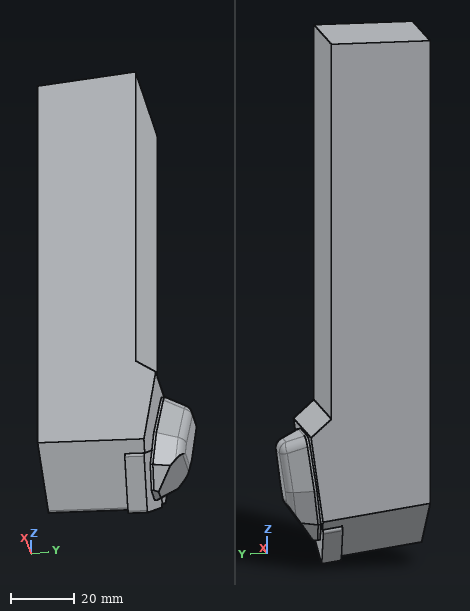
import cadquery as cq
import math

shank_size = 31.9
shank_top = 171.4
head_tilt = 8.0
tip_y = 32.2

swell_start_z = 50.0
swell_end_z = 44.2

point_z = 1.0
point_radius = 0.9

insert_side = 19.0
insert_thickness = 6.3
insert_radius = 0.9

clamp_x = -2.4
clamp_top_z = 43.9
clamp_wide_z = 26.5
clamp_narrow_z = 15.0
clamp_bottom_z = 8.9
clamp_top_half_width = 8.5
clamp_half_width = 10.0
clamp_narrow_half_width = 7.9
clamp_bottom_half_width = 2.4
clamp_base_height = 0.9
clamp_height = 9.3
clamp_draft = 24.0
clamp_end_draft = 14.0
clamp_slope_top_z = 22.5
clamp_slope_foot_height = 2.2
clamp_edge_radius = 3.5


def place_head(shape):
    """Tilt a shape from the upright head frame into its final place."""
    return shape.rotate((0, 0, 0), (1, 0, 0), -head_tilt).translate((0, tip_y, 0))


def rake_face_y(z):
    return tip_y + z * math.tan(math.radians(head_tilt))


def make_shank():
    below_tip_z = -8.5
    outline = [
        (0, shank_top),
        (shank_size, shank_top),
        (shank_size, swell_start_z),
        (rake_face_y(swell_end_z), swell_end_z),
        (rake_face_y(below_tip_z), below_tip_z),
        (0, below_tip_z),
    ]
    blank = cq.Workplane("YZ").polyline(outline).close().extrude(shank_size / 2, both=True)
    reach = 1.5 * shank_top
    point = (
        cq.Workplane("XZ")
        .polyline([(0, point_z), (reach, point_z + reach), (-reach, point_z + reach)])
        .close()
        .extrude(reach, both=True)
        .edges("|Y").edges("<Z").fillet(point_radius)
    )
    return blank.intersect(place_head(point))


def make_insert():
    centre_z = insert_side / math.sqrt(2) - insert_radius * (math.sqrt(2) - 1)
    insert = (
        cq.Workplane("XY")
        .box(insert_side, insert_thickness, insert_side)
        .edges("|Y").fillet(insert_radius)
        .rotate((0, 0, 0), (0, 1, 0), 45)
        .translate((0, -insert_thickness / 2, centre_z))
    )
    return place_head(insert)


def make_clamp():
    half_plan = [
        (clamp_top_half_width, clamp_top_z),
        (clamp_half_width, clamp_wide_z),
        (clamp_narrow_half_width, clamp_narrow_z),
        (clamp_bottom_half_width, clamp_bottom_z),
    ]
    right = [(clamp_x + x, z) for x, z in half_plan]
    left = [(clamp_x - x, z) for x, z in reversed(half_plan)]
    base_plan = right + left
    base = (
        cq.Workplane("XZ")
        .polyline(base_plan)
        .close()
        .extrude(-clamp_base_height)
        .edges("|Y and >Z").fillet(clamp_edge_radius)
    )

    end_margin = clamp_height
    narrowing = (clamp_narrow_half_width - clamp_bottom_half_width) / (clamp_narrow_z - clamp_bottom_z)
    lower_apex_z = clamp_bottom_z - clamp_bottom_half_width / narrowing
    upper_plan = [right[1], right[2], (clamp_x, lower_apex_z), left[1], left[2]]
    shrink = (clamp_half_width - clamp_top_half_width) / (clamp_top_z - clamp_wide_z)
    end_half_width = clamp_top_half_width - shrink * end_margin
    upper_plan += [
        (clamp_x - end_half_width, clamp_top_z + end_margin),
        (clamp_x + end_half_width, clamp_top_z + end_margin),
    ]
    upper = (
        cq.Workplane("XZ", origin=(0, clamp_base_height, 0))
        .polyline(upper_plan)
        .close()
        .extrude(-(clamp_height - clamp_base_height), taper=clamp_draft)
    )
    end_setback = (clamp_height - clamp_base_height) * math.tan(math.radians(clamp_end_draft))
    profile = [
        (clamp_base_height, clamp_top_z),
        (clamp_height, clamp_top_z - end_setback),
        (clamp_height, clamp_slope_top_z),
        (clamp_slope_foot_height, clamp_bottom_z),
        (clamp_base_height, clamp_bottom_z),
    ]
    trim = cq.Workplane("YZ").polyline(profile).close().extrude(shank_size, both=True)
    upper = upper.intersect(trim)
    upper = upper.faces(">Y or >Z").edges("not <Y").fillet(clamp_edge_radius)
    return place_head(base.union(upper))


insert = make_insert()
holder = make_shank().union(make_clamp()).cut(insert)

result = cq.Compound.makeCompound([holder.val(), insert.val()])